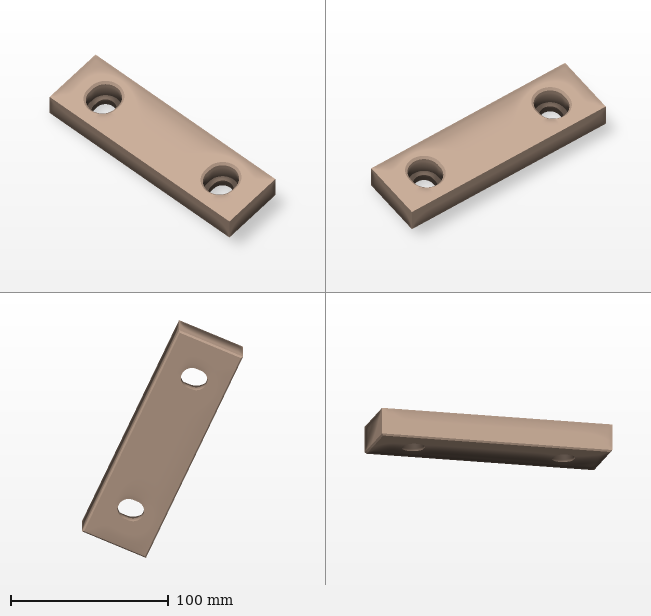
import cadquery as cq

length = 151.0
width = 44.5
thickness = 18.0
bottom_chamfer = 1.0

slot_spacing = 98.3
slot_travel = 3.0
through_width = 14.0
counterbore_width = 21.0
counterbore_depth = 13.0
rim_chamfer = 1.5


def slot_cutter(slot_width, depth):
    """Slot along Y at the origin, reaching down from the top face."""
    return (
        cq.Workplane("XY")
        .workplane(offset=thickness)
        .slot2D(slot_width + slot_travel, slot_width, 90)
        .extrude(-depth)
    )


def counterbored_slot():
    through = slot_cutter(through_width, thickness)
    counterbore = slot_cutter(counterbore_width, counterbore_depth)
    return through.union(counterbore)


plate = cq.Workplane("XY").box(length, width, thickness, centered=(True, True, False))
plate = plate.faces("<Z").edges().chamfer(bottom_chamfer)

for side in (-1, 1):
    plate = plate.cut(counterbored_slot().translate((side * slot_spacing / 2, 0, 0)))

mouth_edges = [edge for mouth in plate.faces(">Z").val().innerWires() for edge in mouth.Edges()]
result = plate.newObject(mouth_edges).chamfer(rim_chamfer)